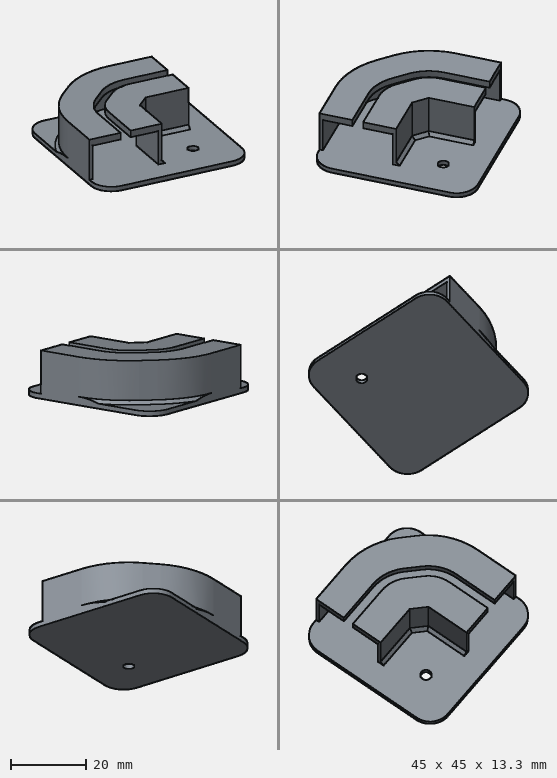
import cadquery as cq
import math

plate_side = 45.0
plate_thickness = 1.4
plate_corner_radius = 6.0
hole_diameter = 3.0
hole_position = 33.25

total_height = 13.25
channel_width = 21.6
arm_end = 37.9
bend_start = 25.1
wall_thickness = 1.0
lip_thickness = 2.0
slot_width = 3.0
foot_flare = 1.0

flare_angle = 45
overrun = 2 * foot_flare
channel_height = total_height - plate_thickness


def outward_region(distance, base_z):
    """Sketch of the bend's inside plus a margin of `distance` outward from the channel's inner faces.

    The margin's edge follows both arms and the diagonal, with arcs about the inner corners.
    """
    far = arm_end + overrun
    near = channel_width - distance
    diagonal_shift = distance * math.sin(math.pi / 4)
    diagonal_low = channel_width - diagonal_shift
    diagonal_high = bend_start - diagonal_shift
    sin_mid = distance * math.sin(math.pi / 8)
    cos_mid = distance * math.cos(math.pi / 8)
    return (
        cq.Workplane("XY", origin=(0, 0, base_z))
        .moveTo(far, far)
        .lineTo(near, far)
        .lineTo(near, bend_start)
        .threePointArc((channel_width - cos_mid, bend_start - sin_mid), (diagonal_low, diagonal_high))
        .lineTo(diagonal_high, diagonal_low)
        .threePointArc((bend_start - sin_mid, channel_width - cos_mid), (bend_start, near))
        .lineTo(far, near)
        .close()
    )


def inner_region(setback, base_z):
    """Sketch of the area inside the bend, set back from the inner faces with sharp corners."""
    far = arm_end + overrun
    near = channel_width + setback
    corner = bend_start + setback * math.tan(math.pi / 8)
    points = [(far, far), (near, far), (near, corner), (corner, near), (far, near)]
    return cq.Workplane("XY", origin=(0, 0, base_z)).polyline(points).close()


def bent_band(outer_distance, inner_distance, base_z, height):
    """Strip that follows the bend between two distances from the inner faces."""
    outer = outward_region(outer_distance, base_z).extrude(height)
    return outer.cut(outward_region(inner_distance, base_z).extrude(height))


def make_plate():
    return (
        cq.Workplane("XY")
        .rect(plate_side, plate_side, centered=False)
        .extrude(plate_thickness)
        .edges("|Z")
        .fillet(plate_corner_radius)
    )


def make_channel():
    outer_body = outward_region(channel_width, plate_thickness).extrude(channel_height)
    outer_foot = outward_region(channel_width + foot_flare, plate_thickness).extrude(
        foot_flare, taper=flare_angle
    )
    foot_top = plate_thickness + foot_flare
    foot_outlines = [inner_region(foot_flare, plate_thickness).val(), inner_region(0, foot_top).val()]
    inner_foot_void = cq.Workplane(cq.Solid.makeLoft(foot_outlines, True))
    inner_void = inner_region(0, foot_top).extrude(channel_height)
    body = outer_body.union(outer_foot).cut(inner_foot_void).cut(inner_void)

    cavity_height = channel_height - lip_thickness
    cavity = bent_band(channel_width - wall_thickness, wall_thickness, plate_thickness, cavity_height)
    slot_inner = (channel_width - slot_width) / 2
    slot = bent_band(slot_inner + slot_width, slot_inner, plate_thickness, channel_height)

    limits = cq.Workplane("XY").box(arm_end, arm_end, total_height, centered=False)
    return body.cut(cavity).cut(slot).intersect(limits)


hole = (
    cq.Workplane("XY")
    .center(hole_position, hole_position)
    .circle(hole_diameter / 2)
    .extrude(plate_thickness)
)

result = make_plate().cut(hole).union(make_channel())